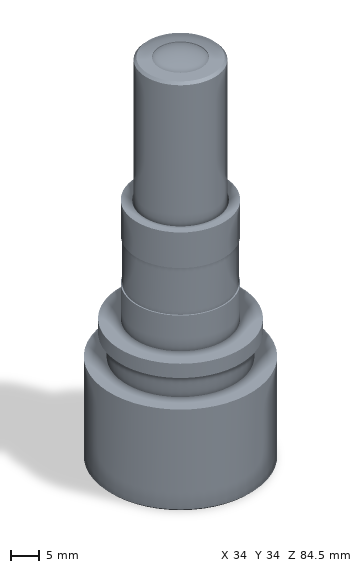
import cadquery as cq

base_diameter = 34.0
neck_diameter = 26.0
flange_diameter = 29.0
collar_diameter = 21.0
waist_diameter = 20.5
pin_diameter = 16.5
bore_diameter = 17.0
bore_mouth_diameter = 17.12
recess_diameter = 10.0

base_length = 21.5
neck_length = 5.0
flange_length = 3.0
collar_length = 7.5
waist_length = 10.0
total_length = 84.5

base_chamfer = 0.5
pin_chamfer = 0.5
recess_depth = 0.2
bore_depth = collar_length
bore_chamfer = (bore_mouth_diameter - bore_diameter) / 2

sleeve_steps = [
    (neck_diameter, neck_length),
    (flange_diameter, flange_length),
    (collar_diameter, collar_length),
    (waist_diameter, waist_length),
    (collar_diameter, collar_length),
]
sleeve_length = base_length + sum(length for _, length in sleeve_steps)
bore_floor = sleeve_length - bore_depth


def cylinder(diameter, bottom, length):
    """Cylinder on the Z axis standing at height `bottom`."""
    return cq.Workplane("XY", origin=(0, 0, bottom)).circle(diameter / 2).extrude(length)


def make_sleeve():
    """Chamfered base carrying the coaxial stepped sections."""
    sleeve = cylinder(base_diameter, 0, base_length)
    sleeve = sleeve.faces("<Z").edges().chamfer(base_chamfer)
    bottom = base_length
    for diameter, length in sleeve_steps:
        sleeve = sleeve.union(cylinder(diameter, bottom, length))
        bottom += length
    return sleeve


def make_bore():
    """Bore in the top of the sleeve, flared by a fine 45 degree chamfer at its mouth."""
    bore = cylinder(bore_diameter, bore_floor, bore_depth)
    mouth = cylinder(bore_mouth_diameter, sleeve_length - bore_chamfer, bore_chamfer * 2)
    mouth = mouth.faces("<Z").edges().chamfer(bore_chamfer)
    return bore.union(mouth)


def make_pin():
    """Pin standing on the bore floor, with a chamfered tip and a shallow round recess."""
    pin = cylinder(pin_diameter, bore_floor, total_length - bore_floor)
    pin = pin.faces(">Z").edges().chamfer(pin_chamfer)
    return pin.cut(cylinder(recess_diameter, total_length - recess_depth, recess_depth))


result = make_sleeve().cut(make_bore()).union(make_pin())